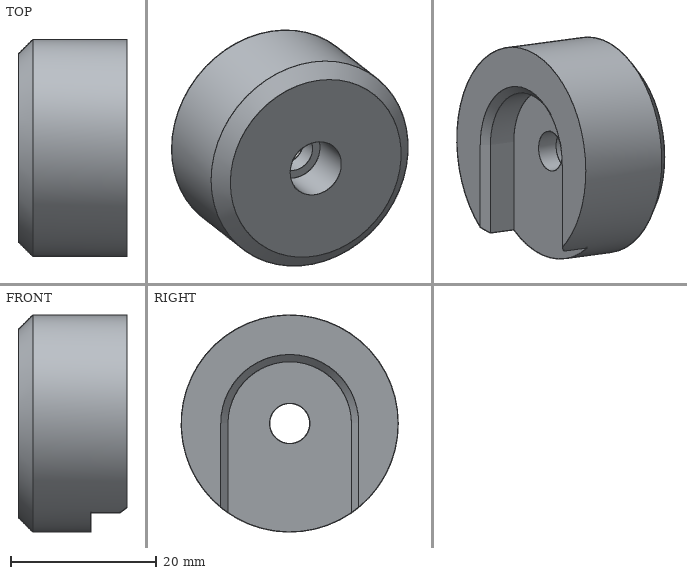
import cadquery as cq

outer_diameter = 29.9
thickness = 15.0
rim_chamfer = 2.0

bore_diameter = 5.5
counterbore_diameter = 7.75
counterbore_depth = 7.0

slot_width = 17.0
slot_depth = 5.0
slot_chamfer = 1.0
slot_chamfer_angle = 45.0

outer_radius = outer_diameter / 2
slot_floor_x = thickness - slot_depth


def make_disc():
    """Plain disc with the rim of its -X face chamfered."""
    disc = cq.Workplane("YZ").circle(outer_radius).extrude(thickness)
    return disc.faces("<X").edges().chamfer(rim_chamfer)


def make_bore():
    """Through hole with a counterbore entering from the -X face."""
    hole = cq.Workplane("YZ").circle(bore_diameter / 2).extrude(thickness)
    counterbore = cq.Workplane("YZ").circle(counterbore_diameter / 2).extrude(counterbore_depth)
    return hole.union(counterbore)


def slot_outline(start_x):
    """U-shaped slot outline at start_x, rounded about the axis and running out past the rim."""
    half_width = slot_width / 2
    return (
        cq.Workplane("YZ", origin=(start_x, 0, 0))
        .moveTo(-half_width, -outer_diameter)
        .lineTo(half_width, -outer_diameter)
        .lineTo(half_width, 0)
        .threePointArc((0, half_width), (-half_width, 0))
        .close()
    )


def make_slot():
    """Straight-walled slot that flares outwards where it meets the +X face."""
    straight = slot_outline(slot_floor_x).extrude(slot_depth)
    flare = slot_outline(thickness - slot_chamfer).extrude(slot_chamfer, taper=-slot_chamfer_angle)
    return straight.union(flare)


result = make_disc().cut(make_bore()).cut(make_slot())